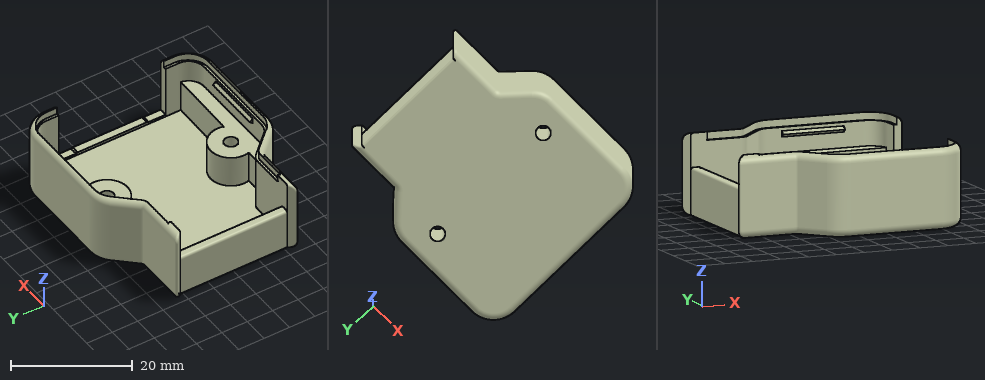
import cadquery as cq
import math

length = 38.95
width = 35.2
height = 13.9
neck_width = 24.05
wall = 1.5
floor_top = 2.05
rim_round = 1.4

shoulder_start_x = 10.15
shoulder_end_x = 15.35
neck_corner_round = 0.62
body_corner_round = 5.0
cavity_corner_round = 3.0

rim_lip = 1.0
seat_depth = 1.4
seat_start_x = 3.95

end_wall_front_x = 1.0
end_wall_thickness = 2.0
end_wall_top = 8.15
end_wall_edge = 0.5
mitre_overrun = 0.6
tip_round = 0.36

sill_top = 2.5
sill_step = 0.1
sill_pad_width = 13.63
sill_step_run = 0.35

boss_x = 20.45
boss_y = 12.2
boss_diameter = 8.0
screw_hole_diameter = 2.5
shelf_top = 8.2
shelf_start_x = 13.45
shelf_start_y = 13.12
shelf_end_y = 13.47

rib_start_x = 19.8
rib_length = 11.1
rib_depth = 0.6
rib_half_height = 0.5
rib_drop = 1.13

half_width = width / 2
half_neck = neck_width / 2
half_opening = half_neck - wall
cavity_end_x = length - wall
cavity_half_width = half_width - wall
end_wall_back_x = end_wall_front_x + end_wall_thickness

beyond = 3.9


def box(x0, x1, y0, y1, z0, z1):
    return cq.Workplane("XY").box(x1 - x0, y1 - y0, z1 - z0, centered=False).translate((x0, y0, z0))


def both_sides(solid):
    """The solid together with its mirror image across the XZ plane."""
    return solid.union(solid.mirror("XZ"))


def bottle_prism(inset, start_x, neck_round, body_round, bottom, top):
    """Prism on the outer outline moved inward by inset, with rounded corners."""
    slope = math.atan2(half_width - half_neck, shoulder_end_x - shoulder_start_x)
    shift = inset * math.tan(slope / 2)
    neck_corner = (shoulder_start_x + shift, half_neck - inset)
    body_corner = (shoulder_end_x + shift, half_width - inset)
    end_corner = (length - inset, half_width - inset)
    upper = [(start_x, half_neck - inset), neck_corner, body_corner, end_corner]
    lower = [(x, -y) for x, y in reversed(upper)]
    prism = cq.Workplane("XY").workplane(offset=bottom).polyline(upper + lower).close().extrude(top - bottom)

    def corner_edges(x_from, x_to):
        """Upright edges of the prism between two places along its length."""
        selector = cq.selectors.BoxSelector((x_from, -width, bottom - 0.4), (x_to, width, top + 0.4))
        return prism.edges("|Z").edges(selector)

    middle_x = (neck_corner[0] + body_corner[0]) / 2
    prism = corner_edges(start_x + 0.4, middle_x).fillet(neck_round)
    return corner_edges(middle_x, length + 0.4).fillet(body_round)


def outer_block():
    """Solid block with rounded rims and neck ends mitred at 45 degrees."""
    block = bottle_prism(0, -beyond, neck_corner_round, body_corner_round, 0, height)
    block = block.faces("<Z or >Z").edges("not <X").fillet(rim_round)
    mitre_root_x = end_wall_front_x + mitre_overrun
    mitre_root_y = half_opening - mitre_overrun
    reach = mitre_root_y + beyond
    mitre = [
        (mitre_root_x, mitre_root_y),
        (mitre_root_x - beyond, reach),
        (-2 * beyond, reach),
        (-2 * beyond, -reach),
        (mitre_root_x - beyond, -reach),
        (mitre_root_x, -mitre_root_y),
    ]
    block = block.cut(cq.Workplane("XY").polyline(mitre).close().extrude(height))
    for side in (1, -1):
        tip_edge = cq.selectors.NearestToPointSelector((0, side * half_neck, height / 2))
        block = block.edges("|Z").edges(tip_edge).fillet(tip_round)
    return block


def hollow(block):
    """Cut the cavity, the rim seat and the openings at both ends."""
    cavity = bottle_prism(
        wall, end_wall_back_x, neck_corner_round + wall, cavity_corner_round, floor_top, height
    )
    seat = bottle_prism(
        rim_lip, seat_start_x, neck_corner_round + rim_lip, body_corner_round - rim_lip,
        height - seat_depth, height,
    )
    neck_mouth = box(-beyond, end_wall_back_x, -half_opening, half_opening, 0, height)
    far_mouth = box(cavity_end_x - 0.4, length + 0.4, -half_opening, half_opening, sill_top, height)
    return block.cut(cavity).cut(seat).cut(neck_mouth).cut(far_mouth)


def end_wall():
    """Low wall across the neck mouth, rounded outside at top and foot, chamfered inside."""
    panel = box(end_wall_front_x, end_wall_back_x, -half_opening, half_opening, 0, end_wall_top)
    panel = panel.faces(">Z").edges("<X").fillet(end_wall_edge)
    panel = panel.faces(">Z").edges(">X").chamfer(end_wall_edge)
    return panel.faces("<Z").edges("<X").fillet(tip_round)


def shelf_and_boss():
    """Shelf along the +Y wall with its screw boss; the parts inside the walls merge with them."""
    shelf_outline = [
        (shelf_start_x, shelf_start_y),
        (cavity_end_x, shelf_end_y),
        (cavity_end_x, half_width),
        (shelf_start_x, half_width),
    ]
    shelf = cq.Workplane("XY").polyline(shelf_outline).close().extrude(shelf_top)
    boss = cq.Workplane("XY").center(boss_x, boss_y).circle(boss_diameter / 2).extrude(shelf_top)
    inside = bottle_prism(
        wall / 2, end_wall_back_x, neck_corner_round + wall, cavity_corner_round, floor_top, shelf_top
    )
    return shelf.union(boss).intersect(inside)


def snap_rib():
    """Triangular rib along the +Y wall."""
    center_z = height - seat_depth - rib_drop
    profile = [
        (cavity_half_width, center_z + rib_half_height),
        (cavity_half_width - rib_depth, center_z),
        (cavity_half_width, center_z - rib_half_height),
    ]
    return cq.Workplane("YZ").workplane(offset=rib_start_x).polyline(profile).close().extrude(rib_length)


def sill_pad():
    """Slightly raised middle of the far sill, with sloped ends."""
    half_pad = sill_pad_width / 2
    profile = [
        (-half_pad - sill_step_run, sill_top),
        (-half_pad, sill_top + sill_step),
        (half_pad, sill_top + sill_step),
        (half_pad + sill_step_run, sill_top),
    ]
    return cq.Workplane("YZ").workplane(offset=cavity_end_x).polyline(profile).close().extrude(wall)


body = hollow(outer_block()).union(end_wall())
body = body.union(both_sides(shelf_and_boss())).union(both_sides(snap_rib())).union(sill_pad())
screw_holes = cq.Workplane("XY").pushPoints([(boss_x, boss_y), (boss_x, -boss_y)])
result = body.cut(screw_holes.circle(screw_hole_diameter / 2).extrude(height))